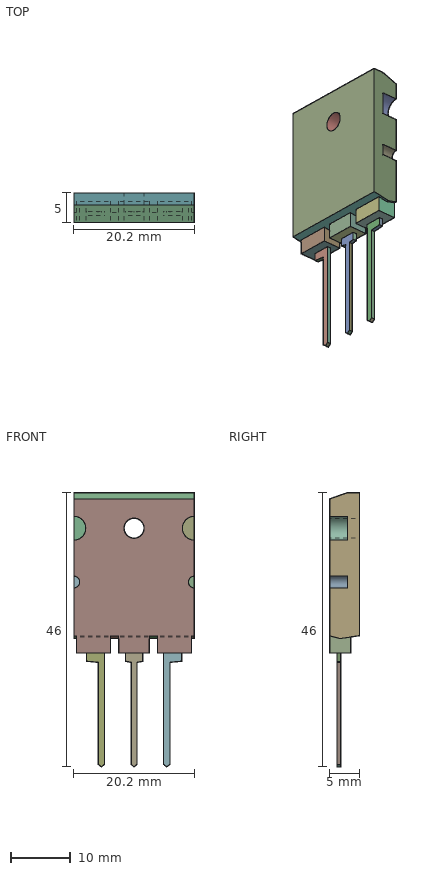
import cadquery as cq

body_width = 20.2
body_depth = 5.0
total_height = 46.0
parting_y = 3.0

bevel_drop = 1.05
body_bottom = -24.0
ridge_bottom = -24.45
ridge_y = 1.75

hole_diameter = 3.3
hole_z = -6.0
large_notch_radius = 2.0
small_notch_radius = 0.99
small_notch_z = -15.0

block_depth = 3.55
block_bottom = -26.9
side_block_inner_x = 3.9
side_block_outer_x = 9.65
center_block_half_width = 2.58

lead_front_y = 1.2
lead_thickness = 0.7
side_lead_inner_x = 4.9
side_lead_outer_x = 6.03
side_shoulder_x = 8.0
center_lead_half_width = 0.5
center_shoulder_half_width = 1.45
shoulder_outer_z = -28.3
shoulder_inner_z = -28.47
lead_tip_height = 0.45
lead_tip_z = -total_height
lead_taper_z = lead_tip_z + lead_tip_height


def extrude_back(sketch, front_y, depth):
    """Extrude an XZ sketch toward +Y, starting at front_y."""
    return sketch.extrude(-depth).translate((0, front_y, 0))


def make_body():
    profile = [
        (0, -bevel_drop),
        (parting_y, 0),
        (body_depth, 0),
        (body_depth, body_bottom),
        (ridge_y, ridge_bottom),
        (0, body_bottom),
    ]
    body = cq.Workplane("YZ").polyline(profile).close().extrude(body_width / 2, both=True)
    hole = cq.Workplane("XZ").center(0, hole_z).circle(hole_diameter / 2)
    body = body.cut(extrude_back(hole, 0, body_depth))
    for side in (-1, 1):
        for radius, z in ((large_notch_radius, hole_z), (small_notch_radius, small_notch_z)):
            notch = cq.Workplane("XZ").center(side * body_width / 2, z).circle(radius)
            body = body.cut(extrude_back(notch, 0, parting_y))
    return body


def make_block(x_start, x_end):
    outline = [(x_start, body_bottom), (x_end, body_bottom), (x_end, block_bottom), (x_start, block_bottom)]
    return extrude_back(cq.Workplane("XZ").polyline(outline).close(), 0, block_depth)


def make_lead(outline):
    return extrude_back(cq.Workplane("XZ").polyline(outline).close(), lead_front_y, lead_thickness)


def make_side_pin():
    """Right-hand block and lead, with a shoulder on the outer side only."""
    lead = make_lead([
        (side_lead_inner_x, block_bottom),
        (side_shoulder_x, block_bottom),
        (side_shoulder_x, shoulder_outer_z),
        (side_lead_outer_x, shoulder_inner_z),
        (side_lead_outer_x, lead_taper_z),
        ((side_lead_inner_x + side_lead_outer_x) / 2, lead_tip_z),
        (side_lead_inner_x, lead_taper_z),
    ])
    return make_block(side_block_inner_x, side_block_outer_x).union(lead)


def make_center_pin():
    """Middle block and lead, with a shoulder on both sides."""
    right_side = [
        (center_shoulder_half_width, block_bottom),
        (center_shoulder_half_width, shoulder_outer_z),
        (center_lead_half_width, shoulder_inner_z),
        (center_lead_half_width, lead_taper_z),
    ]
    left_side = [(-x, z) for x, z in reversed(right_side)]
    lead = make_lead(right_side + [(0, lead_tip_z)] + left_side)
    return make_block(-center_block_half_width, center_block_half_width).union(lead)


side_pin = make_side_pin()
result = make_body().union(make_center_pin()).union(side_pin).union(side_pin.mirror("YZ"))